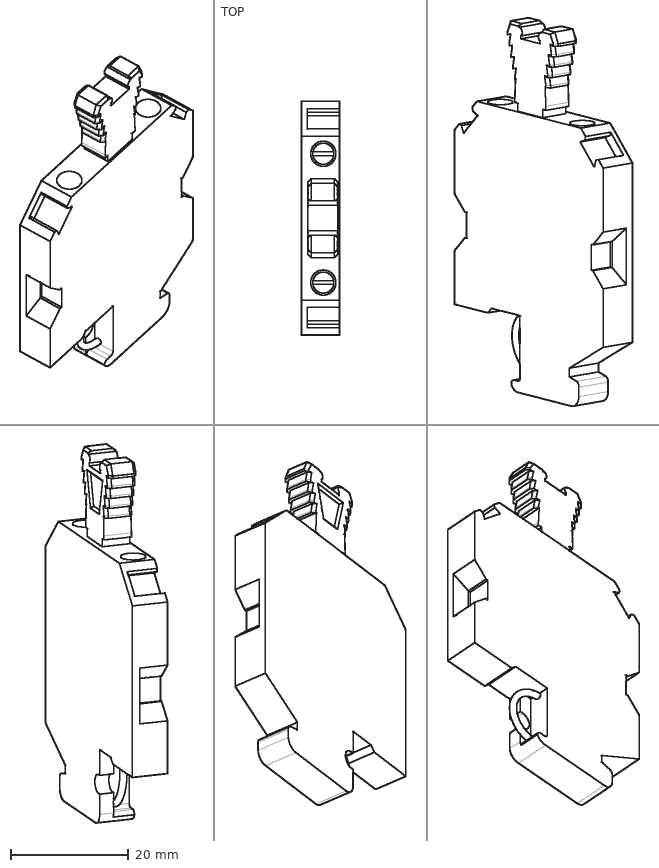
import cadquery as cq
thickness = 6.5
width = 40.0
half_width = width / 2
housing_top = 49.1
corner_chamfer = 6.0
total_height = 64.4

foot_rear = 13.45
foot_front = -4.95
foot_round = 2.05
neck_rear = 10.9
hook_lower_z = 5.0
hook_upper_z = 6.6
hook_tip_z = 4.45
hook_round = 0.9
rear_slope_z = 11.7
front_lip_z = 12.55
ceiling_z = 13.5
ceiling_front = -10.05
rail_slot_z = 7.3
rail_slot_radius = 1.7
rail_slot_end = -2.8

plate_thickness = 2.6
recess_back = -2.4
recess_floor = 2.0
recess_round = 0.65
recess_lip_front = -4.75
recess_lip_round = 0.8
ring_center = (3.8, -2.5, 8.1)
ring_axis = (1.0, -0.1, -0.1)
ring_radius = 4.95
ring_wire_radius = 0.61

groove_start = 0.95
groove_width = 4.9
groove_lip = 0.3
groove_lip_depth = 0.6
groove_depth = 1.85
groove_undercut = 0.2

entry_start = 1.35
entry_floor_start = 2.25
entry_z = 26.9
entry_height = 9.9
entry_floor_height = 4.5
entry_taper_depth = 2.8
entry_well_depth = 0.45

screw_x = 3.75
screw_y = 11.0
well_diameter = 4.3
well_radius = well_diameter / 2
well_floor_radius = 1.8
well_depth = 7.7
driver_slot_width = 0.65
driver_slot_depth = 0.65

plug_start = 1.1
plug_thickness = 5.1
plug_neck_width = 6.75
plug_neck_half = plug_neck_width / 2
plug_ledge_z = 50.5
plug_base_half = 4.2
plug_base_z = 51.25
plug_waist_half = 4.0
tooth_count = 5
tooth_first_z = 54.4
tooth_last_z = 62.0
tooth_pitch = (tooth_last_z - tooth_first_z) / (tooth_count - 1)
tooth_first_half = 4.75
tooth_step = 0.5
tooth_undercut = 0.85
tooth_tip_height = 0.45
tooth_underside_rise = 0.2
head_top_half = 5.9
head_gap_half = 2.95
head_floor_half = 2.5
head_floor_z = 61.9
bead_bottom_z = 62.4
bead_top_z = 63.8
bead_half = 2.2
head_bevel = 0.6
head_top_bevel = 0.42
head_inner_bevel = 0.25
window_top_z = 60.9
window_bottom_z = 54.5
window_top_half = 3.6
window_bottom_half = 2.0
window_depth = 0.45
window_taper = 45


def yz_plane(x):
    return cq.Workplane("YZ", origin=(x, 0, 0))


def both_sides(solid):
    """The solid together with its mirror image across Y = 0."""
    return solid.union(solid.mirror("XZ"))


def make_housing():
    outline = [
        (-half_width + corner_chamfer, housing_top),
        (half_width - corner_chamfer, housing_top),
        (half_width, housing_top - corner_chamfer),
        (half_width, rear_slope_z),
        (neck_rear, hook_upper_z),
        (neck_rear, hook_lower_z),
        (foot_rear, hook_tip_z),
        (foot_rear, 0),
        (foot_front, 0),
        (foot_front, ceiling_z),
        (ceiling_front, ceiling_z),
        (ceiling_front - (ceiling_z - front_lip_z), front_lip_z),
        (-half_width, front_lip_z),
        (-half_width, housing_top - corner_chamfer),
    ]
    body = yz_plane(0).polyline(outline).close().extrude(thickness)
    body = body.edges("|X and <Z").fillet(foot_round)
    hook_edge = cq.selectors.NearestToPointSelector((thickness / 2, foot_rear, hook_tip_z))
    return body.edges("|X").edges(hook_edge).fillet(hook_round)


def make_rail_slot():
    """Round-bottomed slot through the foot's front plate."""
    round_end_y = rail_slot_end - rail_slot_radius
    round_end = (
        yz_plane(0)
        .center(round_end_y, rail_slot_z)
        .circle(rail_slot_radius)
        .extrude(plate_thickness)
    )
    mouth = (
        yz_plane(0)
        .center(foot_front, rail_slot_z)
        .rect(2 * (round_end_y - foot_front), 2 * rail_slot_radius)
        .extrude(plate_thickness)
    )
    return round_end.union(mouth)


def make_spring_recess():
    """Pocket open to the front and +X, its floor rounded over at the front edge."""
    recess_lip_z = recess_floor - recess_lip_round
    return (
        yz_plane(plate_thickness)
        .moveTo(foot_front, recess_lip_z)
        .lineTo(recess_lip_front, recess_lip_z)
        .radiusArc((recess_lip_front + recess_lip_round, recess_floor), recess_lip_round)
        .lineTo(recess_back - recess_round, recess_floor)
        .radiusArc((recess_back, recess_floor + recess_round), -recess_round)
        .lineTo(recess_back, ceiling_z)
        .lineTo(foot_front, ceiling_z)
        .close()
        .extrude(thickness - plate_thickness)
    )


def make_spring_ring():
    ring = cq.Solid.makeTorus(
        ring_radius, ring_wire_radius, cq.Vector(*ring_center), cq.Vector(*ring_axis)
    )
    return cq.Workplane(ring)


def make_marker_groove():
    """Groove in the front chamfer; its walls lean in to a lip, then back out to the floor."""
    mouth_half = groove_width / 2
    lip_half = mouth_half - groove_lip
    floor_half = mouth_half + groove_undercut
    chamfer_plane = cq.Plane(
        origin=(
            groove_start,
            -half_width + corner_chamfer / 2,
            housing_top - corner_chamfer / 2,
        ),
        xDir=(0, 1, 1),
        normal=(1, 0, 0),
    )
    return (
        cq.Workplane(chamfer_plane)
        .polyline(
            [
                (-mouth_half, 0),
                (-lip_half, -groove_lip_depth),
                (-floor_half, -groove_depth),
                (floor_half, -groove_depth),
                (lip_half, -groove_lip_depth),
                (mouth_half, 0),
            ]
        )
        .close()
        .extrude(thickness - groove_start)
    )


def make_wire_entry():
    """Pyramidal pocket open towards +X, ending in a shallow straight well."""
    return (
        cq.Workplane("XZ", origin=(thickness, -half_width, entry_z))
        .rect(2 * (thickness - entry_start), entry_height)
        .workplane(offset=-entry_taper_depth)
        .rect(2 * (thickness - entry_floor_start), entry_floor_height)
        .loft(ruled=True)
        .faces(">Y")
        .workplane()
        .rect(2 * (thickness - entry_floor_start), entry_floor_height)
        .extrude(entry_well_depth)
    )


def make_screw_well():
    """Tapered round well down to the screw head, with the driver slot in its floor."""
    floor_z = housing_top - well_depth
    well = (
        cq.Workplane("XY", origin=(screw_x, -screw_y, floor_z))
        .circle(well_floor_radius)
        .workplane(offset=well_depth)
        .circle(well_radius)
        .loft(ruled=True)
    )
    driver_slot = (
        cq.Workplane("XY", origin=(screw_x, -screw_y, floor_z))
        .rect(2 * well_floor_radius, driver_slot_width)
        .extrude(-driver_slot_depth)
    )
    return well.union(driver_slot)


def draw_plug_outline(plane, bevel=0, top_bevel=0, inner_bevel=0):
    """Closed plug outline; the toothed flanks and the head pulled in by the bevels."""
    top_z = total_height - top_bevel
    right = [
        (plug_neck_half, housing_top),
        (plug_neck_half, plug_ledge_z),
        (plug_base_half, plug_ledge_z),
        (plug_base_half, plug_base_z),
    ]
    for tooth in range(tooth_count):
        z = tooth_first_z + tooth * tooth_pitch
        tip = tooth_first_half + tooth * tooth_step - bevel
        root = plug_waist_half if tooth == 0 else tip - tooth_undercut
        right += [
            (root, z + tooth_underside_rise),
            (tip, z),
            (tip, z + tooth_tip_height),
        ]
    right += [(head_top_half - bevel, top_z), (head_gap_half + inner_bevel, top_z)]
    left = [(-y, z) for y, z in reversed(right)]
    bead_middle_z = (bead_top_z + bead_bottom_z) / 2
    return (
        plane.polyline(right)
        .lineTo(head_gap_half, bead_top_z)
        .threePointArc((bead_half, bead_middle_z), (head_floor_half, bead_bottom_z))
        .lineTo(head_floor_half, head_floor_z)
        .lineTo(-head_floor_half, head_floor_z)
        .lineTo(-head_floor_half, bead_bottom_z)
        .threePointArc((-bead_half, bead_middle_z), (-head_gap_half, bead_top_z))
        .polyline(left, includeCurrent=True)
        .close()
    )


def make_plug():
    """Grip with toothed flanks, bevelled at both X ends, with a window recessed in the -X face."""
    middle_start = plug_start + head_bevel
    middle_end = plug_start + plug_thickness - head_bevel

    def bevelled_end(inner_x, outer_x):
        full = draw_plug_outline(yz_plane(inner_x)).val()
        inset = draw_plug_outline(
            yz_plane(outer_x), head_bevel, head_top_bevel, head_inner_bevel
        ).val()
        return cq.Workplane(cq.Solid.makeLoft([full, inset], True))

    middle = draw_plug_outline(yz_plane(middle_start)).extrude(middle_end - middle_start)
    plug = middle.union(bevelled_end(middle_start, plug_start))
    plug = plug.union(bevelled_end(middle_end, plug_start + plug_thickness))
    window = (
        yz_plane(plug_start)
        .polyline(
            [
                (-window_bottom_half, window_bottom_z),
                (window_bottom_half, window_bottom_z),
                (window_top_half, window_top_z),
                (-window_top_half, window_top_z),
            ]
        )
        .close()
        .extrude(window_depth, taper=window_taper)
    )
    return plug.cut(window)


result = (
    make_housing()
    .cut(make_rail_slot())
    .cut(make_spring_recess())
    .cut(both_sides(make_marker_groove()))
    .cut(both_sides(make_wire_entry()))
    .cut(both_sides(make_screw_well()))
    .union(make_spring_ring())
    .union(make_plug())
)